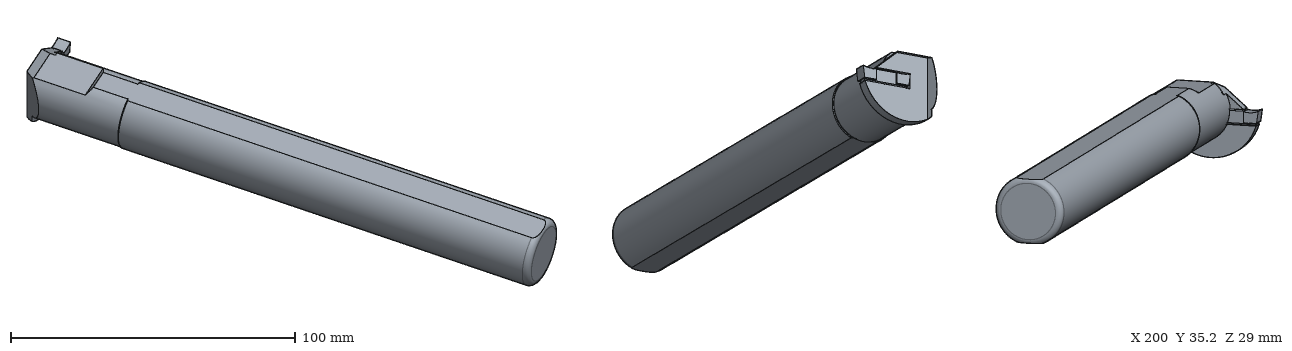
import cadquery as cq


LENGTH = 200.0
SHANK_DIAMETER = 25.0
SHANK_RADIUS = SHANK_DIAMETER / 2
SHANK_START = 40.0
STEP_CHAMFER = 0.5
ACROSS_FLATS = 23.0
FLAT_HEIGHT = ACROSS_FLATS / 2
END_FILLET = 2.5

NECK_RADIUS = 12.2
RELIEF_HEIGHT = 9.8
RELIEF_END = 25.0
RELIEF_RAMP = 1.5

HEAD_FRONT = 0.5
BLADE_BACK = 4.5
BLADE_DIAMETER = 35.0
BLADE_RADIUS = BLADE_DIAMETER / 2
BLADE_CENTRE_Y = 5.0
BEVEL_END = 5.0
BEVEL_FOOT = 7.5
CORNER_START_Y = -3.5
CORNER_SIZE = 12.0

SLOPE_ANGLE = 40.0
SLOPE_FOOT_Y = 17.2
SLOPE_END = 7.0

OVERALL_WIDTH = 35.2
INSERT_TIP_Y = OVERALL_WIDTH - SHANK_RADIUS
INSERT_LENGTH = 19.0
TOOTH_WIDTH = 5.0
TOOTH_LENGTH = 5.5
TOOTH_TOP = 0.2
TOOTH_BOTTOM = -4.2
TOOTH_ROOT_TOP = -0.2
BREAKER_LOW = -0.5
FRONT_RELIEF = 0.5
CORE_TOP = 0.5
CORE_BOTTOM = -5.2
CORE_FRONT = 0.5
CORE_BACK = 4.0
CORE_CHAMFER = 0.5
CORE_SETBACK = 1.0

INSERT_MIDDLE_Y = INSERT_TIP_Y - INSERT_LENGTH / 2
INSERT_INNER_Y = INSERT_TIP_Y - INSERT_LENGTH
MARGIN = 10.0


def box(x_range, y_range, z_range):
    """Box between two X, two Y and two Z limits."""
    (x0, x1), (y0, y1), (z0, z1) = x_range, y_range, z_range
    return cq.Workplane("XY").box(x1 - x0, y1 - y0, z1 - z0, centered=False).translate((x0, y0, z0))


def make_shank():
    shank = (
        cq.Workplane("YZ", origin=(SHANK_START, 0, 0))
        .circle(SHANK_RADIUS)
        .extrude(LENGTH - SHANK_START)
        .faces("<X").chamfer(STEP_CHAMFER)
        .faces(">X").edges().fillet(END_FILLET)
    )
    below_flat = box((SHANK_START, LENGTH), (-SHANK_RADIUS, SHANK_RADIUS), (-SHANK_RADIUS, -FLAT_HEIGHT))
    return shank.cut(below_flat)


def make_neck_and_blade():
    neck = cq.Workplane("YZ", origin=(HEAD_FRONT, 0, 0)).circle(NECK_RADIUS).extrude(SHANK_START - HEAD_FRONT)
    blade = (
        cq.Workplane("YZ", origin=(HEAD_FRONT, BLADE_CENTRE_Y, 0))
        .circle(BLADE_RADIUS)
        .extrude(BLADE_BACK - HEAD_FRONT)
    )
    return neck.union(blade)


def make_top_cutter():
    """Everything above the front bevel, the lowered neck top, its ramp and the clamping flat."""
    ceiling = BLADE_RADIUS + MARGIN
    return (
        cq.Workplane("XZ")
        .polyline([
            (HEAD_FRONT, ceiling),
            (HEAD_FRONT, BEVEL_FOOT),
            (BEVEL_END, RELIEF_HEIGHT),
            (RELIEF_END, RELIEF_HEIGHT),
            (RELIEF_END + RELIEF_RAMP, FLAT_HEIGHT),
            (LENGTH, FLAT_HEIGHT),
            (LENGTH, ceiling),
        ])
        .close()
        .extrude(BLADE_DIAMETER, both=True)
    )


def make_corner_cutter():
    """45 degree chamfer on the -Y side of the cutting end."""
    return (
        cq.Workplane("XY")
        .polyline([
            (HEAD_FRONT, CORNER_START_Y),
            (HEAD_FRONT + CORNER_SIZE, CORNER_START_Y - CORNER_SIZE),
            (HEAD_FRONT, CORNER_START_Y - CORNER_SIZE),
        ])
        .close()
        .extrude(BLADE_DIAMETER, both=True)
    )


def make_slope_cutter():
    """Block resting on the slope, ending square in the neck."""
    reach = BLADE_DIAMETER
    return (
        box((-MARGIN, SLOPE_END), (-reach, reach), (0, reach))
        .rotate((0, 0, 0), (1, 0, 0), -SLOPE_ANGLE)
        .translate((0, SLOPE_FOOT_Y, CORE_TOP))
    )


def make_insert_slot():
    return box((-MARGIN, TOOTH_WIDTH), (INSERT_INNER_Y, INSERT_TIP_Y + MARGIN), (CORE_BOTTOM, CORE_TOP))


def make_holder():
    holder = make_neck_and_blade().union(make_shank())
    for cutter in (make_top_cutter(), make_corner_cutter(), make_slope_cutter(), make_insert_slot()):
        holder = holder.cut(cutter)
    return holder


def make_tooth():
    """Outer tooth, with a hollow top as chip breaker and a relieved front face."""
    root = INSERT_TIP_Y - TOOTH_LENGTH
    return (
        cq.Workplane("YZ")
        .moveTo(INSERT_TIP_Y, TOOTH_TOP)
        .threePointArc(((INSERT_TIP_Y + root) / 2, BREAKER_LOW), (root, TOOTH_ROOT_TOP))
        .lineTo(root, TOOTH_BOTTOM)
        .lineTo(INSERT_TIP_Y - FRONT_RELIEF, TOOTH_BOTTOM)
        .close()
        .extrude(TOOTH_WIDTH)
    )


def mirror_to_inner_end(shape):
    return shape.mirror("XZ", (0, INSERT_MIDDLE_Y, 0))


def make_insert():
    core_x = (CORE_FRONT, CORE_BACK)
    core_y = (INSERT_INNER_Y + CORE_SETBACK, INSERT_TIP_Y - CORE_SETBACK)
    core = box(core_x, core_y, (CORE_BOTTOM, CORE_TOP)).edges("|Y").chamfer(CORE_CHAMFER)
    outer_seat = box((0, TOOTH_WIDTH), (INSERT_TIP_Y - TOOTH_LENGTH, INSERT_TIP_Y), (TOOTH_BOTTOM, CORE_TOP))
    inner_seat = mirror_to_inner_end(outer_seat)
    outer_tooth = make_tooth()
    inner_tooth = mirror_to_inner_end(outer_tooth)
    return core.cut(outer_seat).cut(inner_seat).union(outer_tooth).union(inner_tooth)


holder = make_holder()
insert = make_insert()
result = cq.Compound.makeCompound([holder.val(), insert.val()])